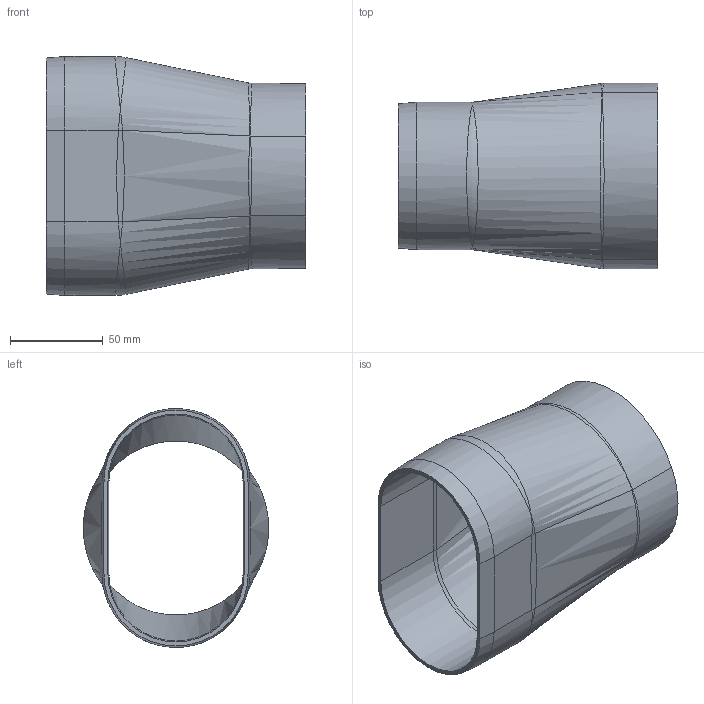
import cadquery as cq
import math

total_length = 140.0
oval_length = 40.0
round_length = 30.0
tip_length = 10.0
tip_taper = 0.85

oval_width = 79.5
oval_height = 128.98
round_diameter = 100.1
wall = 3.0

stop_length = 2.0
stop_height = 0.5

oval_bend_radius = 30.0
round_bend_radius = 10.0
least_setback = 0.05
bend_steps = 32

round_start = total_length - round_length
flat_end = (oval_height - oval_width) / 2
along_x = cq.Vector(1, 0, 0)


def radial(angle):
    """Unit vector across the duct, turned from +Y towards +Z."""
    return cq.Vector(0, math.cos(angle), math.sin(angle))


def split_angle(inset):
    """Angle that divides the circle in proportion to the oval's flats and arcs."""
    arc_length = math.pi / 2 * (oval_width / 2 - inset)
    return math.pi / 2 * flat_end / (flat_end + arc_length)


def oval(x, inset):
    """Oval outline made of two flats joined by two half circles."""
    radius = oval_width / 2 - inset
    return (
        cq.Workplane("YZ", origin=(x, 0, 0))
        .moveTo(radius, -flat_end)
        .lineTo(radius, flat_end)
        .threePointArc((0, flat_end + radius), (-radius, flat_end))
        .lineTo(-radius, -flat_end)
        .threePointArc((0, -flat_end - radius), (radius, -flat_end))
        .close()
        .val()
    )


def split_circle(x, inset):
    """Round outline split into four arcs that pair up with the oval's edges."""
    radius = round_diameter / 2 - inset
    split_y = radius * math.cos(split_angle(inset))
    split_z = radius * math.sin(split_angle(inset))
    return (
        cq.Workplane("YZ", origin=(x, 0, 0))
        .moveTo(split_y, -split_z)
        .threePointArc((radius, 0), (split_y, split_z))
        .threePointArc((0, radius), (-split_y, split_z))
        .threePointArc((-radius, 0), (-split_y, -split_z))
        .threePointArc((0, -radius), (split_y, -split_z))
        .close()
        .val()
    )


def bend_setback(run, normal, radius):
    """Length along X that a bend of the given radius takes on each side of the corner."""
    bend_angle = math.atan(run.dot(normal) / run.x)
    return math.hypot(radius * math.tan(bend_angle / 2), least_setback)


def bend_points(corner, step_in, step_out):
    """Start, middle and end of a parabolic bend that touches both straight runs."""
    start = corner - step_in
    end = corner + step_out
    middle = (start + corner * 2 + end) * 0.25
    return [start, middle, end]


def transition_line(oval_corner, oval_normal, round_normal):
    """Bend points at both ends of one straight line of the outer transition surface."""
    round_corner = along_x * round_start + round_normal * (round_diameter / 2)
    run = round_corner - oval_corner
    run_per_x = run * (1 / run.x)
    oval_setback = bend_setback(run, oval_normal, oval_bend_radius)
    round_setback = bend_setback(run, round_normal, round_bend_radius)
    return [
        *bend_points(oval_corner, along_x * oval_setback, run_per_x * oval_setback),
        *bend_points(round_corner, run_per_x * round_setback, along_x * round_setback),
    ]


def side_line(fraction):
    """Line from the oval's +Y flat, counted from its lower to its upper end."""
    place = 2 * fraction - 1
    oval_corner = cq.Vector(oval_length, oval_width / 2, place * flat_end)
    return transition_line(oval_corner, radial(0), radial(place * split_angle(0)))


def top_line(fraction):
    """Line from the oval's upper arc, counted from its +Y to its -Y end."""
    oval_normal = radial(math.pi * fraction)
    oval_corner = cq.Vector(oval_length, 0, flat_end) + oval_normal * (oval_width / 2)
    round_angle = split_angle(0) + (math.pi - 2 * split_angle(0)) * fraction
    return transition_line(oval_corner, oval_normal, radial(round_angle))


def bend_outlines():
    """Start, middle and end outlines of the oval bend, then those of the round bend."""
    fractions = [step / bend_steps for step in range(bend_steps + 1)]
    side_rows = zip(*[side_line(fraction) for fraction in fractions])
    top_rows = zip(*[top_line(fraction) for fraction in fractions])
    outlines = []
    for side_row, top_row in zip(side_rows, top_rows):
        side = cq.Edge.makeSpline(list(side_row), parameters=fractions)
        top = cq.Edge.makeSpline(list(top_row), parameters=fractions)
        half = [side, top]
        opposite = [edge.rotate(cq.Vector(0, 0, 0), along_x, 180) for edge in half]
        outlines.append(cq.Wire.assembleEdges(half + opposite))
    return outlines


def skin(*outlines):
    """Surface through a row of outlines: straight between two, curved through three."""
    return cq.occ_impl.shapes.loft(*outlines, ruled=len(outlines) == 2)


def make_outer():
    """Solid bounded by the outer surface of the duct."""
    tip = oval(0, tip_taper)
    tip_end = oval(tip_length, 0)
    oval_in, oval_mid, oval_out, round_in, round_mid, round_out = bend_outlines()
    round_end = split_circle(total_length, 0)
    surfaces = [
        cq.Face.makeFromWires(tip),
        skin(tip, tip_end),
        skin(tip_end, oval_in),
        skin(oval_in, oval_mid, oval_out),
        skin(oval_out, round_in),
        skin(round_in, round_mid, round_out),
        skin(round_out, round_end),
        cq.Face.makeFromWires(round_end),
    ]
    faces = [face for surface in surfaces for face in surface.Faces()]
    return cq.Workplane(cq.Solid.makeSolid(cq.Shell.makeShell(faces)))


def make_bore():
    """Solid that hollows the duct, with the stop between oval socket and transition."""
    stop_end = oval_length + stop_length
    outlines = [
        oval(0, wall),
        oval(oval_length, wall),
        oval(stop_end, wall + stop_height),
        split_circle(round_start, wall),
        split_circle(total_length, wall),
    ]
    return cq.Workplane(cq.Solid.makeLoft(outlines, True))


result = make_outer().cut(make_bore())